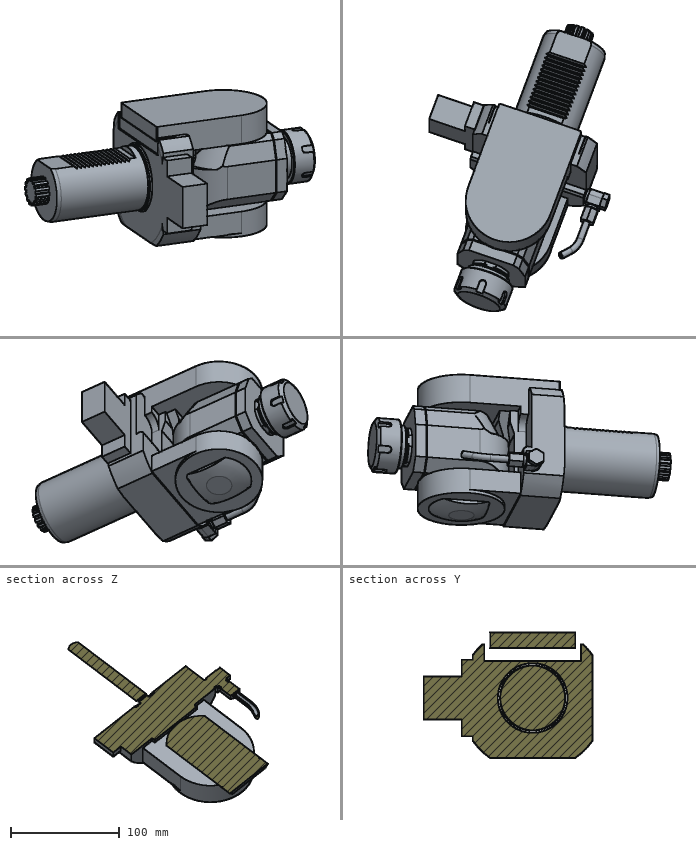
import cadquery as cq
import math


flange_half_width = 55.0
flange_top = 49.3
flange_bottom = -55.0
flange_depth = 30.7
flange_lower_depth = 38.2
flange_lower_top = -12.7
flange_lower_chamfer = 2.2
flange_corner_radius = 67.5
face_bevel_radius = 61.8
face_bevel_depth = 0.8

insert_half_width = 44.3
insert_bottom = 34.0
insert_recess = 1.5
insert_thickness = 18.3
insert_gap = 0.5

swivel_y = 85.8
fork_radius = 80.0 / 2
cover_front = 0.8
fork_top = 60.0
cover_bottom = 45.7
fork_arm_bottom = -53.5
fork_disc_bottom = -56.8
cover_corner_chamfer = 1.0

web_notch_top = 25.2
web_notch_radius = 12.2
web_half_width = fork_radius - web_notch_radius
pad_depth = 41.5
pad_bend = 9.5
pad_top_depth = 45.5
pad_top_bend = 20.8
rib_depth = 54.8
rib_bend = 25.5
rib_bottom = 8.3
rib_bottom_half_width = 5.5
rib_top_half_width = 26.3

lens_base_radius = 30.0
lens_flat_radius = 11.5
lens_dome_radius = 61.0
part_bottom = -62.9
lens_half_width = 22.0
lens_front = 62.9

head_half_width = 33.0
head_half_height = 32.7
head_back = 135.0
head_round_y = 75.0
head_facet_width = 27.0
head_facet_height = 27.5
head_top_half_width = 21.5
head_side_top = 10.0
head_side_bottom = -21.5
head_shoulder = 7.8
head_joint_y = 124.0
head_joint_width = 0.8
head_joint_depth = 0.42
head_cone_base_radius = 37.7
head_cone_top_radius = 25.2

shank_radius = 60.0 / 2
shank_end = -94.5
shank_chamfer = 1.0
shank_chamfer_length = 3.5
relief_radius = 58.7 / 2
relief_length = 3.0
seal_ring_radius = 30.0
seal_ring_length = 1.0
face_groove_radius = 31.8
face_groove_depth = 1.5
flat_height = 25.0
flat_start = -10.0
teeth_count = 14
teeth_first = -17.5
teeth_last = -69.8
teeth_pitch = (teeth_first - teeth_last) / (teeth_count - 1)
teeth_width = 3.3
teeth_depth = 2.0

spline_count = 14
spline_end = -108.0
spline_radius = 12.7
spline_root_radius = 10.5
spline_tooth_width = 2.8

nut_end = 169.0
nut_start = 146.0
nut_radius = 50.0 / 2
nut_edge_radial = 4.5
nut_edge_axial = 3.0
nut_back_chamfer = 0.8
nut_collar_start = 141.2
nut_collar_radius = 40.0 / 2
nose_radius = 17.7
nose_groove_y = 139.3
nose_groove_width = 1.0
nose_groove_radius = 17.2
nose_flat_count = 4
nose_flat_distance = 17.0
nose_flat_end = 139.8
slot_count = 6
slot_width = 6.5
slot_length = 13.5
slot_depth = 2.2

block_depth = 24.6
block_plate_end = 65.0
block_plate_half_height = 35.2
block_end = 100.0
block_half_height = 20.0

fitting_y = 30.5
fitting_z = -30.5
fitting_end = -76.0
bolt_head_inner = -70.5
fitting_inner = -57.5
fitting_radius = 14.5 / 2
fitting_neck_radius = 6.5
bolt_head_corner_radius = 7.8
tube_x = -64.2
socket_end = 38.5
tube_nut_start = 41.3
tube_nut_end = 54.5
tube_nut_corner_radius = 7.0
tube_neck_radius = 9.7 / 2
tube_radius = 6.5 / 2
tube_bore_radius = 2.0
tube_bend_start = 72.0
tube_bend_radius = 22.2
tube_bend_angle = 40
tube_tip_length = 11.0
tube_roll = 28

overlap = 0.5


def box(x0, x1, y0, y1, z0, z1):
    return cq.Workplane("XY").box(x1 - x0, y1 - y0, z1 - z0, centered=False).translate((x0, y0, z0))


def rod(y0, y1, radius, x=0, z=0):
    """Cylinder along Y from y0 to y1."""
    return cq.Workplane("XZ", origin=(x, y0, z)).circle(radius).extrude(y0 - y1)


def turned_about_y(points):
    """Body of revolution about the Y axis from (radius, y) points."""
    return cq.Workplane("XY").polyline(points).close().revolve(360, (0, 0, 0), (0, 1, 0))


def mirrored_x(body):
    return body.union(body.mirror("YZ"))


def hexagon(plane, origin, corner_radius, length):
    """Hexagonal bar with one corner pointing up."""
    angles = [math.radians(90 + 60 * i) for i in range(6)]
    points = [(corner_radius * math.cos(a), corner_radius * math.sin(a)) for a in angles]
    return cq.Workplane(plane, origin=origin).polyline(points).close().extrude(length)


def flange():
    w = flange_half_width
    body = box(-w, w, 0, flange_depth, flange_bottom, flange_top)
    lower = box(-w, w, 0, flange_lower_depth, flange_bottom, flange_lower_top)
    lower = lower.edges(">Y and >Z").chamfer(flange_lower_chamfer)
    corner_round = turned_about_y([
        (0, 0),
        (face_bevel_radius, 0),
        (flange_corner_radius, face_bevel_depth),
        (flange_corner_radius, flange_lower_depth),
        (0, flange_lower_depth),
    ])
    body = body.union(lower).intersect(corner_round)
    recess = box(-insert_half_width, insert_half_width, 0, insert_recess, insert_bottom, flange_top)
    gap_start = insert_half_width - insert_gap
    gap = box(gap_start, insert_half_width, 0, insert_thickness, insert_bottom, flange_top)
    groove = rod(0, face_groove_depth, face_groove_radius)
    return body.cut(recess).cut(mirrored_x(gap)).cut(groove)


def fork_outline(y_front, z0, z1):
    """Plate with straight sides and a round end about the swivel axis."""
    r = fork_radius
    return (
        cq.Workplane("XY", origin=(0, 0, z0))
        .moveTo(-r, y_front).lineTo(r, y_front).lineTo(r, swivel_y)
        .threePointArc((0, swivel_y + r), (-r, swivel_y)).close()
        .extrude(z1 - z0)
    )


def fork():
    cover = fork_outline(cover_front, cover_bottom, fork_top)
    cover = cover.edges("|Z and <Y").chamfer(cover_corner_chamfer)
    upper_arm = fork_outline(flange_depth - overlap, head_half_height, cover_bottom)
    lower_arm = fork_outline(flange_depth, fork_arm_bottom, -head_half_height)
    disc = cq.Workplane("XY", origin=(0, swivel_y, fork_disc_bottom)).circle(fork_radius)
    disc = disc.extrude(-head_half_height - fork_disc_bottom)
    return cover.union(upper_arm).union(lower_arm).union(disc)


def fork_web():
    """Wall behind the flange, hollowed along both sides below the upper arm."""
    web = box(
        -fork_radius, fork_radius, flange_depth - overlap, flange_lower_depth, fork_arm_bottom, cover_bottom
    )
    waist_top = web_notch_top - web_notch_radius
    notch = (
        cq.Workplane("XZ", origin=(0, flange_depth, 0))
        .moveTo(fork_radius, web_notch_top)
        .radiusArc((web_half_width, waist_top), -web_notch_radius)
        .lineTo(web_half_width, fork_arm_bottom).lineTo(fork_radius, fork_arm_bottom).close()
        .extrude(flange_depth - flange_lower_depth)
    )
    return web.cut(mirrored_x(notch))


def arm_gusset():
    """Pad on the web and a sloping rib that narrows downwards, both under the upper arm."""
    root = flange_lower_depth - overlap
    top = head_half_height + overlap
    pad = [
        (root, fork_arm_bottom),
        (pad_depth, fork_arm_bottom),
        (pad_depth, pad_bend),
        (pad_top_depth, pad_top_bend),
        (pad_top_depth, top),
        (root, top),
    ]
    rib = [
        (root, rib_bottom),
        (pad_top_depth, rib_bottom),
        (rib_depth, rib_bend),
        (rib_depth, top),
        (root, top),
    ]
    taper = [
        (-rib_bottom_half_width, rib_bottom),
        (rib_bottom_half_width, rib_bottom),
        (rib_top_half_width, top),
        (-rib_top_half_width, top),
    ]
    pad_body = cq.Workplane("YZ").polyline(pad).close().extrude(web_half_width, both=True)
    rib_body = cq.Workplane("YZ").polyline(rib).close().extrude(web_half_width, both=True)
    rib_body = rib_body.intersect(cq.Workplane("XZ").polyline(taper).close().extrude(-swivel_y))
    return pad_body.union(rib_body)


def bearing_cap():
    """Domed cap with a flat centre, trimmed on three sides."""
    lens = (
        cq.Workplane("XZ", origin=(0, swivel_y, 0))
        .moveTo(0, fork_disc_bottom).lineTo(lens_base_radius, fork_disc_bottom)
        .radiusArc((lens_flat_radius, part_bottom), lens_dome_radius)
        .lineTo(0, part_bottom).close()
        .revolve(360, (0, 0, 0), (0, 1, 0))
    )
    lens_back = swivel_y + lens_base_radius
    trim = box(-lens_half_width, lens_half_width, lens_front, lens_back, part_bottom, fork_disc_bottom)
    return lens.intersect(trim)


def head_section(y0, y1, shrink=0.0):
    """Faceted cross-section of the swivel head, extruded along Y."""
    right = [
        (head_top_half_width, head_half_height),
        (head_facet_width, head_facet_height),
        (head_half_width, head_side_top),
        (head_half_width, head_side_bottom),
        (head_top_half_width, -head_half_height),
    ]
    outline = right + [(-x, z) for x, z in reversed(right)]
    section = cq.Workplane("XZ", origin=(0, y0, 0)).polyline(outline).close()
    if shrink:
        section = section.offset2D(-shrink, "intersection")
    return section.extrude(y0 - y1)


def swivel_head():
    w = head_half_width
    h = head_half_height
    bar = head_section(head_round_y - w, head_back)
    rear = cq.Workplane("XY", origin=(0, head_round_y, -h)).circle(w).extrude(2 * h)
    body = bar.intersect(rear.union(box(-w, w, head_round_y, head_back, -h, h)))
    cone = (
        cq.Workplane("XY", origin=(0, swivel_y, head_shoulder)).circle(head_cone_base_radius)
        .workplane(offset=h - head_shoulder).circle(head_cone_top_radius)
        .loft()
    )
    waste = box(-w, w, head_round_y - w, swivel_y, head_shoulder, h)
    body = body.cut(waste.cut(cone))
    joint_end = head_joint_y + head_joint_width
    joint = head_section(head_joint_y, joint_end).cut(head_section(head_joint_y, joint_end, head_joint_depth))
    return body.cut(joint)


def shank():
    chamfer_start = shank_end + shank_chamfer_length
    body = turned_about_y([
        (0, face_groove_depth + overlap),
        (seal_ring_radius, face_groove_depth + overlap),
        (seal_ring_radius, -seal_ring_length),
        (relief_radius, -seal_ring_length),
        (relief_radius, -relief_length),
        (shank_radius, -relief_length),
        (shank_radius, chamfer_start),
        (shank_radius - shank_chamfer, shank_end),
        (0, shank_end),
    ])
    r = shank_radius
    body = body.cut(box(-r, r, shank_end, flat_start, flat_height, r))
    for i in range(teeth_count):
        y = teeth_first - i * teeth_pitch
        notch = [
            (y - teeth_width / 2, flat_height),
            (y, flat_height - teeth_depth),
            (y + teeth_width / 2, flat_height),
        ]
        body = body.cut(cq.Workplane("YZ").polyline(notch).close().extrude(r, both=True))
    return body


def spline_shaft():
    body = rod(spline_end, shank_end + overlap, spline_root_radius)
    half = spline_tooth_width / 2
    tooth = box(0, spline_radius, spline_end, shank_end + overlap, -half, half)
    for i in range(spline_count):
        body = body.union(tooth.rotate((0, 0, 0), (0, 1, 0), i * 360 / spline_count))
    return body


def spindle_nose():
    nose = rod(head_back - overlap, nut_collar_start, nose_radius)
    groove = rod(nose_groove_y - nose_groove_width, nose_groove_y, nose_radius)
    groove = groove.cut(rod(nose_groove_y - nose_groove_width, nose_groove_y, nose_groove_radius))
    nose = nose.cut(groove)
    r = nose_radius
    flat = box(-r, r, head_back, nose_flat_end, nose_flat_distance, r)
    for i in range(nose_flat_count):
        nose = nose.cut(flat.rotate((0, 0, 0), (0, 1, 0), i * 360 / nose_flat_count))
    return nose


def collet_nut():
    nut = turned_about_y([
        (0, nut_collar_start),
        (nut_collar_radius, nut_collar_start),
        (nut_collar_radius, nut_start),
        (nut_radius - nut_back_chamfer, nut_start),
        (nut_radius, nut_start + nut_back_chamfer),
        (nut_radius, nut_end - nut_edge_axial),
        (nut_radius - nut_edge_radial, nut_end),
        (0, nut_end),
    ])
    half = slot_width / 2
    slot = (
        cq.Workplane("XY", origin=(0, 0, nut_radius - slot_depth))
        .moveTo(-half, nut_end).lineTo(-half, nut_end - slot_length + half)
        .threePointArc((0, nut_end - slot_length), (half, nut_end - slot_length + half))
        .lineTo(half, nut_end).close()
        .extrude(2 * slot_depth)
    )
    for i in range(slot_count):
        nut = nut.cut(slot.rotate((0, 0, 0), (0, 1, 0), i * 360 / slot_count))
    return nut


def locating_block():
    inner = flange_half_width - overlap
    plate = box(inner, block_plate_end, 0, block_depth, -block_plate_half_height, block_plate_half_height)
    return plate.union(box(inner, block_end, 0, block_depth, -block_half_height, block_half_height))


def coolant_fitting():
    def stub(x0, x1, radius):
        return cq.Workplane("YZ", origin=(x0, fitting_y, fitting_z)).circle(radius).extrude(x1 - x0)

    head_length = bolt_head_inner - fitting_end
    bolt_head = hexagon("YZ", (fitting_end, fitting_y, fitting_z), bolt_head_corner_radius, head_length)
    r = fitting_radius
    socket = box(bolt_head_inner, fitting_inner, fitting_y, socket_end, fitting_z - r, fitting_z + r)
    body = bolt_head.union(stub(bolt_head_inner, fitting_inner, r)).union(socket)
    body = body.union(stub(fitting_inner - overlap, overlap - flange_half_width, fitting_neck_radius))
    body = body.union(rod(socket_end - overlap, tube_nut_start + overlap, tube_neck_radius, tube_x, fitting_z))
    nut_length = tube_nut_end - tube_nut_start
    nut_origin = (tube_x, tube_nut_end, fitting_z)
    return body.union(hexagon("XZ", nut_origin, tube_nut_corner_radius, nut_length))


def coolant_tube():
    """Tube that leaves the nut along +Y and bends inwards and upwards."""
    angle = math.radians(tube_bend_angle)

    def on_bend(a):
        return tube_bend_radius * (1 - math.cos(a)), tube_bend_start + tube_bend_radius * math.sin(a)

    bend_end = on_bend(angle)
    tip = (
        bend_end[0] + tube_tip_length * math.sin(angle),
        bend_end[1] + tube_tip_length * math.cos(angle),
    )
    start = tube_nut_end - overlap
    path = (
        cq.Workplane("XY").moveTo(0, start).lineTo(0, tube_bend_start)
        .threePointArc(on_bend(angle / 2), bend_end).lineTo(*tip)
    )
    tube = cq.Workplane("XZ", origin=(0, start, 0)).circle(tube_radius).circle(tube_bore_radius).sweep(path)
    return tube.rotate((0, 0, 0), (0, 1, 0), -tube_roll).translate((tube_x, 0, fitting_z))


result = flange()
for feature in (
    fork, fork_web, arm_gusset, bearing_cap, swivel_head, shank, spline_shaft, spindle_nose,
    collet_nut, locating_block, coolant_fitting, coolant_tube,
):
    result = result.union(feature())